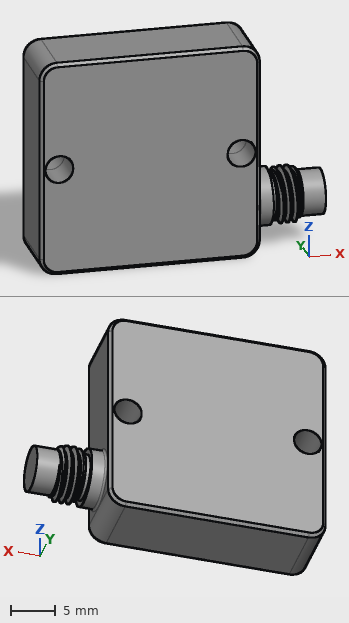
import cadquery as cq

body_side = 25.4
body_depth = 8.4
corner_radius = 2.0
edge_chamfer = 0.4
face_x = body_side / 2

hole_diameter = 3.2
hole_spacing = 21.0

overall_length = 33.32
connector_length = overall_length - body_side
connector_drop = 7.0
collar_diameter = 6.65
collar_length = 1.73
collar_base_fillet = 0.25
barrel_diameter = 5.25

thread_diameter = 6.5
thread_pitch = 0.8
thread_start = 2.23
thread_end = 5.33
crest_width = 0.05
root_width = 0.73
root_overlap = 0.05
trim_clearance = 0.015
helix_start = 1.5
helix_turns = 6


def make_body():
    return (
        cq.Workplane("XZ")
        .rect(body_side, body_side)
        .extrude(body_depth / 2, both=True)
        .edges("|Y")
        .fillet(corner_radius)
        .faces("<Y or >Y")
        .edges()
        .chamfer(edge_chamfer)
    )


def make_mounting_holes():
    return (
        cq.Workplane("XZ")
        .pushPoints([(-hole_spacing / 2, 0), (hole_spacing / 2, 0)])
        .circle(hole_diameter / 2)
        .extrude(body_depth, both=True)
    )


def make_connector():
    """Collar with a fillet flaring into the side face, and plain barrel; axis along Z."""
    collar_radius = collar_diameter / 2
    barrel_radius = barrel_diameter / 2
    fillet = collar_base_fillet
    return (
        cq.Workplane("XZ")
        .lineTo(collar_radius + fillet, 0)
        .radiusArc((collar_radius, fillet), fillet)
        .lineTo(collar_radius, collar_length)
        .lineTo(barrel_radius, collar_length)
        .lineTo(barrel_radius, connector_length)
        .lineTo(0, connector_length)
        .close()
        .revolve(360, (0, 0, 0), (0, 1, 0))
    )


def make_thread():
    """Helical ridge around Z, trimmed at both ends to a 45 degree run-out."""
    inner_radius = barrel_diameter / 2 - root_overlap
    crest_radius = thread_diameter / 2
    path = cq.Wire.makeHelix(
        thread_pitch, helix_turns * thread_pitch, inner_radius, cq.Vector(0, 0, helix_start)
    )
    ridge = (
        cq.Workplane("XZ")
        .polyline([
            (inner_radius, helix_start - root_width / 2),
            (crest_radius, helix_start - crest_width / 2),
            (crest_radius, helix_start + crest_width / 2),
            (inner_radius, helix_start + root_width / 2),
        ])
        .close()
        .sweep(cq.Workplane(path), isFrenet=True)
    )
    run_out = (thread_diameter - barrel_diameter) / 2
    envelope = (
        cq.Workplane("XY", origin=(0, 0, thread_start))
        .circle(crest_radius + trim_clearance)
        .extrude(thread_end - thread_start)
        .faces("<Z or >Z")
        .edges()
        .chamfer(run_out)
    )
    return ridge.intersect(envelope)


def place_on_side_face(feature):
    """Turn a feature from the Z axis onto the connector axis."""
    turned = feature.rotate((0, 0, 0), (0, 1, 0), 90)
    return turned.translate((face_x, 0, -connector_drop))


connector = make_connector().union(make_thread())
result = make_body().cut(make_mounting_holes()).union(place_on_side_face(connector))